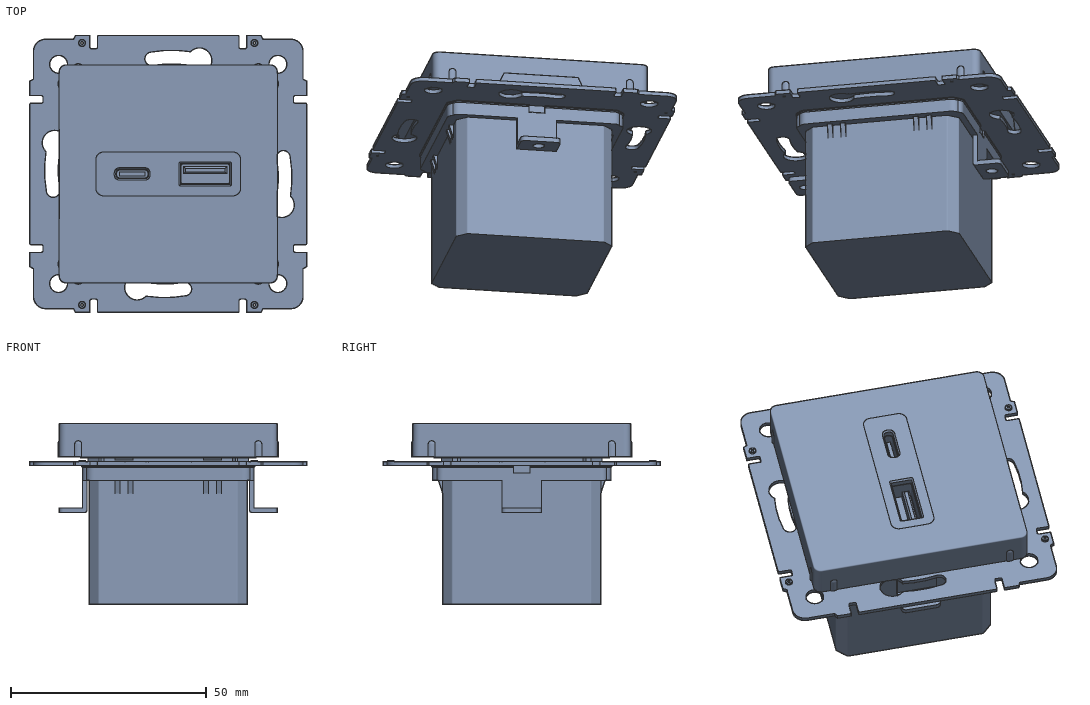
import cadquery as cq
import math

flange_bottom = 31.7
flange_top = 34.95
plate_thickness = 1.0
plate_bottom = 35.45
plate_top = plate_bottom + plate_thickness
shelf_bottom = 37.45
cover_bottom = 37.7
cover_top = 46.2

cover_width = 55.75
cover_corner_radius = 1.85
cover_edge_radius = 0.3
rib_offset = 23.0
rib_width = 1.8
rib_height = 0.3
rib_straight_top = 40.9
grip_bottom_width = 22.8
grip_top_width = 19.2
grip_top = 41.5
grip_depth = 0.1

insert_length = 37.0
insert_width = 11.2
insert_corner_radius = 2.0
port_depth = 6.5
port_rim = 0.4
port_step = 0.15
port_step_depth = 1.7
tongue_recess = 3.3
usb_c_x = -9.2
usb_c_length = 9.2
usb_c_width = 3.2
usb_c_corner_radius = 1.44
usb_c_tongue_length = 6.4
usb_c_tongue_width = 1.0
usb_a_x = 9.45
usb_a_length = 13.5
usb_a_width = 6.1
usb_a_corner_radius = 0.5
usb_a_tongue_length = 11.0
usb_a_tongue_width = 1.8
usb_a_tongue_y = 0.95
usb_a_tongue_chamfer = 0.45

plate_width = 70.76
plate_corner_width = 68.9
plate_corner_radius = 3.2
ear_half_span = 23.7
ear_flare = 0.5
notch_center = 19.05
notch_width = 1.9
notch_floor = 32.0
notch_corner_radius = 0.4
corner_hole_offset = 28.0
corner_hole_diameter = 4.5
screw_arc_radius = 29.85
screw_arc_shift = 0.9
screw_slot_width = 3.4
screw_slot_end_x = -4.25
screw_entry_x = 7.95
screw_entry_y = 29.0
screw_entry_diameter = 6.3
dimple_x = 22.0
dimple_y = 33.45
dimple_diameter = 1.8
dimple_top_diameter = 1.6
dimple_height = 0.35
dimple_hole_diameter = 0.6

housing_width = 40.4
housing_chamfer = 2.5
housing_edge_radius = 0.5
flange_x_width = 43.8
flange_x_depth = 43.6
flange_x_radius = 1.8
flange_y_width = 42.2
flange_y_depth = 45.6
flange_y_radius = 2.2
lip_overhang = 0.25
neck_width = 41.0
neck_chamfer = 2.8
neck_recess_depth = 0.8
neck_recess_x = 34.4
neck_recess_y = 32.8
shelf_width = 44.9
shelf_relief_width = 8.0
shelf_relief_depth = 2.8

hook_x = 11.3
hook_width = 4.7
hook_leg_width = 1.3
hook_bottom = 28.3
hook_reach = 21.3
hook_block_bottom = 36.85
hook_block_depth = 0.3

bracket_width = 10.2
bracket_thickness = 1.2
bracket_reach = cover_width / 2
bracket_bottom = 23.45
bracket_bend_radius = 0.7
bracket_corner_radius = 1.2
bracket_hole_x = 24.5
bracket_hole_diameter = 3.0
bracket_window_width = 4.1
bracket_window_bottom = 33.5
bracket_window_depth = 0.4

almost_full = 0.98

quarter_turns = [0, 90, 180, 270]
half_turns = [0, 180]
z_axis = ((0, 0, 0), (0, 0, 1))


def block(width, depth, bottom, top, x=0, y=0):
    """Upright box centred on (x, y) between two heights."""
    return cq.Workplane("XY", origin=(x, y, bottom)).rect(width, depth).extrude(top - bottom)


def rounded_block(width, depth, radius, bottom, top, x=0, y=0):
    return block(width, depth, bottom, top, x, y).edges("|Z").fillet(radius)


def turned(shape, angle):
    return shape.rotate(*z_axis, angle)


def grip_rib():
    """Domed vertical rib low on the front face."""
    half_width = rib_width / 2
    radius = (half_width**2 + rib_height**2) / (2 * rib_height)
    axis_y = -cover_width / 2 - rib_height + radius
    height = rib_straight_top - cover_bottom
    rib = cq.Workplane("XY", origin=(rib_offset, axis_y, cover_bottom)).circle(radius).extrude(height)
    dome = cq.Workplane("XY", origin=(rib_offset, axis_y, rib_straight_top)).sphere(radius)
    dome_zone = block(4 * radius, 4 * radius, cover_bottom, cover_top, rib_offset, axis_y)
    return rib.union(dome.intersect(dome_zone))


def grip_recess():
    """Shallow trapezoid finger recess in the left face."""
    half_bottom = grip_bottom_width / 2
    half_top = grip_top_width / 2
    return (
        cq.Workplane("YZ", origin=(-cover_width / 2, 0, 0))
        .polyline(
            [
                (-half_bottom, cover_bottom),
                (half_bottom, cover_bottom),
                (half_top, grip_top),
                (-half_top, grip_top),
            ]
        )
        .close()
        .extrude(grip_depth)
    )


def insert_block(bottom):
    return rounded_block(insert_length, insert_width, insert_corner_radius, bottom, cover_top)


def make_cover():
    cover = rounded_block(cover_width, cover_width, cover_corner_radius, cover_bottom, cover_top)
    cover = cover.faces(">Z").edges().fillet(cover_edge_radius)
    front_rib = grip_rib()
    rib_pair = [front_rib, front_rib.mirror("YZ")]
    for angle in quarter_turns:
        for rib in rib_pair:
            cover = cover.union(turned(rib, angle))
    return cover.cut(grip_recess()).cut(insert_block(cover_bottom))


def port(length, width, corner_radius, x):
    """Socket with a sloped rim and a narrower lower part."""

    def layer(inset, bottom):
        inner_width = width - 2 * inset
        radius = corner_radius * inner_width / width
        return rounded_block(length - 2 * inset, inner_width, radius, bottom, cover_top, x)

    window = layer(port_rim, cover_top - port_step_depth)
    socket = layer(port_rim + port_step, cover_top - port_depth)
    rim = layer(0, cover_top - port_rim).faces("<Z").chamfer(almost_full * port_rim)
    return window.union(socket).union(rim)


def make_insert():
    tongue_top = cover_top - tongue_recess
    tongue_bottom = cover_top - port_depth
    usb_c = port(usb_c_length, usb_c_width, usb_c_corner_radius, usb_c_x)
    usb_a = port(usb_a_length, usb_a_width, usb_a_corner_radius, usb_a_x)
    usb_c_tongue = block(usb_c_tongue_length, usb_c_tongue_width, tongue_bottom, tongue_top, usb_c_x)
    usb_a_tongue = block(
        usb_a_tongue_length, usb_a_tongue_width, tongue_bottom, tongue_top, usb_a_x, usb_a_tongue_y
    )
    usb_a_tongue = usb_a_tongue.faces(">Z").chamfer(usb_a_tongue_chamfer)
    insert = insert_block(cover_bottom)
    return insert.cut(usb_c).cut(usb_a).union(usb_c_tongue).union(usb_a_tongue)


def plate_edge_strip():
    """Raised middle stretch of the rear plate edge, flared at its ends."""
    outer_y = plate_width / 2
    base_y = plate_corner_width / 2
    return (
        cq.Workplane("XY", origin=(0, 0, plate_bottom))
        .polyline(
            [
                (-ear_half_span - ear_flare, base_y),
                (-ear_half_span, outer_y),
                (ear_half_span, outer_y),
                (ear_half_span + ear_flare, base_y),
                (ear_half_span, notch_floor),
                (-ear_half_span, notch_floor),
            ]
        )
        .close()
        .extrude(plate_thickness)
    )


def edge_notch(x):
    depth = plate_width / 2 - notch_floor
    notch = block(notch_width, 2 * depth, plate_bottom, plate_top, x, plate_width / 2)
    return notch.edges("|Z").fillet(notch_corner_radius)


def strip_corner_trim():
    """Material removed to round both ends of the strip between two notches."""
    edge_y = plate_width / 2
    strip_width = 2 * notch_center - notch_width
    trim_y = edge_y - notch_corner_radius / 2
    square = block(strip_width, notch_corner_radius, plate_bottom, plate_top, 0, trim_y)
    return square.cut(square.edges("|Z and >Y").fillet(almost_full * notch_corner_radius))


def screw_slot():
    """Curved screw slot at the rear, with a wide entry hole at its right end."""
    swing = math.asin((screw_slot_end_x - screw_arc_shift) / screw_arc_radius)
    entry_swing = math.asin((screw_entry_x - screw_arc_shift) / screw_arc_radius)
    half_width = screw_slot_width / 2

    def on_arc(radius, angle):
        return (screw_arc_shift + radius * math.sin(angle), radius * math.cos(angle))

    outer = screw_arc_radius + half_width
    inner = screw_arc_radius - half_width
    plane = cq.Workplane("XY", origin=(0, 0, plate_bottom))
    slot = (
        plane.moveTo(*on_arc(outer, swing))
        .threePointArc(on_arc(outer, 0), on_arc(outer, entry_swing))
        .lineTo(*on_arc(inner, entry_swing))
        .threePointArc(on_arc(inner, 0), on_arc(inner, swing))
        .close()
        .extrude(plate_thickness)
    )
    slot_end = plane.center(*on_arc(screw_arc_radius, swing)).circle(half_width).extrude(plate_thickness)
    entry = (
        plane.center(screw_entry_x, screw_entry_y)
        .circle(screw_entry_diameter / 2)
        .extrude(plate_thickness)
    )
    return slot.union(slot_end).union(entry)


def dimple():
    """Small pierced cone on the plate."""
    return (
        cq.Workplane("XY", origin=(0, 0, plate_top))
        .circle(dimple_diameter / 2)
        .workplane(offset=dimple_height)
        .circle(dimple_top_diameter / 2)
        .loft()
    )


def make_plate():
    plate = rounded_block(
        plate_corner_width, plate_corner_width, plate_corner_radius, plate_bottom, plate_top
    )
    for angle in quarter_turns:
        plate = plate.union(turned(plate_edge_strip(), angle))
    for angle in quarter_turns:
        plate = plate.cut(turned(screw_slot(), angle))
        for x in (-notch_center, notch_center):
            plate = plate.cut(turned(edge_notch(x), angle))
        plate = plate.cut(turned(strip_corner_trim(), angle))
    corner_span = 2 * corner_hole_offset
    corner_holes = (
        cq.Workplane("XY", origin=(0, 0, plate_bottom))
        .rect(corner_span, corner_span, forConstruction=True)
        .vertices()
        .circle(corner_hole_diameter / 2)
        .extrude(plate_thickness)
    )
    plate = plate.cut(corner_holes)
    pierce_height = plate_thickness + dimple_height
    pierce = cq.Workplane("XY", origin=(0, 0, plate_bottom)).circle(dimple_hole_diameter / 2)
    pierce = pierce.extrude(pierce_height)
    for x in (-dimple_x, dimple_x):
        for y in (-dimple_y, dimple_y):
            plate = plate.union(dimple().translate((x, y, 0)))
            plate = plate.cut(pierce.translate((x, y, 0)))
    return plate


def make_housing():
    housing = block(housing_width, housing_width, 0, flange_bottom)
    housing = housing.edges("|Z").chamfer(housing_chamfer)
    return housing.edges("|Z").fillet(housing_edge_radius)


def make_flange():
    """Two crossed rounded blocks with an overhanging lip under the plate."""
    flange = None
    for width, depth, radius in (
        (flange_x_width, flange_x_depth, flange_x_radius),
        (flange_y_width, flange_y_depth, flange_y_radius),
    ):
        layer = rounded_block(width, depth, radius, flange_bottom, flange_top)
        lip = rounded_block(
            width + 2 * lip_overhang,
            depth + 2 * lip_overhang,
            radius + lip_overhang,
            flange_top,
            plate_bottom,
        )
        lip = lip.faces("<Z").chamfer(almost_full * lip_overhang)
        layer = layer.union(lip)
        flange = layer if flange is None else flange.union(layer)
    return flange


def make_neck():
    neck = block(neck_width, neck_width, plate_top, shelf_bottom).edges("|Z").chamfer(neck_chamfer)
    for side in (-1, 1):
        edge = side * neck_width / 2
        y_recess = block(neck_recess_x, 2 * neck_recess_depth, plate_top, shelf_bottom, 0, edge)
        x_recess = block(2 * neck_recess_depth, neck_recess_y, plate_top, shelf_bottom, edge, 0)
        for recess in (x_recess, y_recess):
            neck = neck.cut(recess.edges("|Z").chamfer(almost_full * neck_recess_depth))
    shelf = block(shelf_width, shelf_width, shelf_bottom, cover_bottom)
    for x in (-hook_x, hook_x):
        for y in (-shelf_width / 2, shelf_width / 2):
            relief = block(
                shelf_relief_width, 2 * shelf_relief_depth, shelf_bottom, cover_bottom, x, y
            )
            shelf = shelf.cut(relief)
    return neck.union(shelf)


def hook_leg(x):
    """Tapered leg under the front of the flange."""
    inner_y = -housing_width / 2
    return (
        cq.Workplane("YZ", origin=(x - hook_leg_width / 2, 0, 0))
        .polyline([(inner_y, flange_bottom), (-hook_reach, flange_bottom), (inner_y, hook_bottom)])
        .close()
        .extrude(hook_leg_width)
    )


def hook_block(x):
    """Block with a sloped underside in the neck recess, above each pair of legs."""
    inner_y = -neck_width / 2 + neck_recess_depth
    outer_y = inner_y - hook_block_depth
    return (
        cq.Workplane("YZ", origin=(x - hook_width / 2, 0, 0))
        .polyline(
            [
                (inner_y, cover_bottom),
                (outer_y, cover_bottom),
                (outer_y, shelf_bottom),
                (inner_y, hook_block_bottom),
            ]
        )
        .close()
        .extrude(hook_width)
    )


def make_hooks():
    hooks = []
    leg_offset = (hook_width - hook_leg_width) / 2
    for angle in half_turns:
        for x in (-hook_x, hook_x):
            for part in (hook_leg(x - leg_offset), hook_leg(x + leg_offset), hook_block(x)):
                hooks.append(turned(part, angle))
    return hooks


def make_bracket():
    """Bent strip on the left: a leg down beside the housing and a foot turned outward."""
    outer_x = -flange_x_width / 2
    inner_x = outer_x + bracket_thickness
    foot_top = bracket_bottom + bracket_thickness
    bracket = (
        cq.Workplane("XZ", origin=(0, bracket_width / 2, 0))
        .polyline(
            [
                (inner_x, plate_bottom),
                (inner_x, bracket_bottom),
                (-bracket_reach, bracket_bottom),
                (-bracket_reach, foot_top),
                (outer_x, foot_top),
                (outer_x, plate_bottom),
            ]
        )
        .close()
        .extrude(bracket_width)
    )
    bracket = bracket.faces("<Z").edges(">X").fillet(bracket_bend_radius)
    bracket = bracket.faces("<X").edges("|Z").fillet(bracket_corner_radius)
    hole = cq.Workplane("XY", origin=(-bracket_hole_x, 0, bracket_bottom))
    return bracket.cut(hole.circle(bracket_hole_diameter / 2).extrude(bracket_thickness))


def bracket_window():
    """Shallow recess at the top of the left flange face."""
    return block(
        2 * (lip_overhang + bracket_window_depth),
        bracket_window_width,
        bracket_window_bottom,
        plate_bottom,
        -flange_x_width / 2 - lip_overhang,
    )


def make_mechanism():
    mechanism = make_housing().union(make_flange()).union(make_plate()).union(make_neck())
    mechanism = mechanism.union(make_insert())
    for angle in half_turns:
        mechanism = mechanism.union(turned(make_bracket(), angle))
        mechanism = mechanism.cut(turned(bracket_window(), angle))
    for hook in make_hooks():
        mechanism = mechanism.union(hook)
    return mechanism


cover = make_cover()
mechanism = make_mechanism()
result = cq.Compound.makeCompound([cover.val(), mechanism.val()])